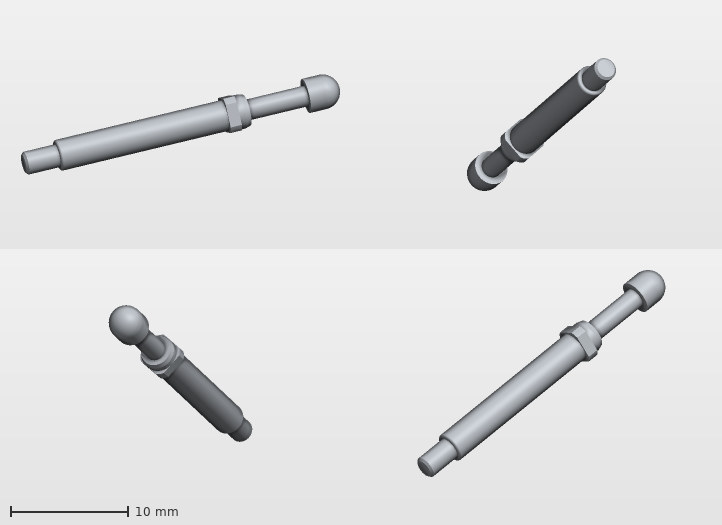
import cadquery as cq

tail_length = 3.0
barrel_length = 15.0
flange_length = 1.0
collar_length = 1.0
collar_taper_length = 0.45
stem_length = 5.3
head_cylinder_length = 1.5

tail_diameter = 2.0
barrel_diameter = 2.7
collar_diameter = 3.0
collar_mouth_diameter = 2.7
stem_diameter = 1.8
head_diameter = 3.0

tail_chamfer = 0.2
barrel_fillet = 0.2

flange_across_flats = 3.0
flange_corner_diameter = 3.6
flange_turn = 45.0

dome_radius = head_diameter / 2
total_length = (
    tail_length
    + barrel_length
    + flange_length
    + collar_length
    + stem_length
    + head_cylinder_length
    + dome_radius
)
tail_start = -total_length / 2
barrel_start = tail_start + tail_length
flange_start = barrel_start + barrel_length
collar_start = flange_start + flange_length
stem_start = collar_start + collar_length
head_start = stem_start + stem_length
dome_start = head_start + head_cylinder_length


def rod(diameter, start, length):
    """Round bar on the Y axis, running toward +Y from the given station."""
    plane = cq.Plane(origin=(0, start, 0), xDir=(1, 0, 0), normal=(0, 1, 0))
    return cq.Workplane(plane).circle(diameter / 2).extrude(length)


def make_tail():
    return rod(tail_diameter, tail_start, tail_length).faces("<Y").chamfer(tail_chamfer)


def make_barrel():
    return rod(barrel_diameter, barrel_start, barrel_length).faces("<Y").edges().fillet(barrel_fillet)


def make_flange():
    square = (
        cq.Workplane("XY")
        .box(flange_across_flats, flange_length, flange_across_flats)
        .rotate((0, 0, 0), (0, 1, 0), flange_turn)
        .translate((0, flange_start + flange_length / 2, 0))
    )
    return square.intersect(rod(flange_corner_diameter, flange_start, flange_length))


def make_collar():
    """Round collar that tapers down to its mouth, where the stem comes out."""
    taper_depth = (collar_diameter - collar_mouth_diameter) / 2
    collar = rod(collar_diameter, collar_start, collar_length)
    return collar.faces(">Y").edges().chamfer(collar_taper_length, taper_depth)


def make_head():
    """Cylinder closed by a hemispherical dome."""
    cylinder = rod(head_diameter, head_start, head_cylinder_length)
    dome = cq.Workplane("XY").sphere(dome_radius).translate((0, dome_start, 0))
    return cylinder.union(dome)


stem = rod(stem_diameter, stem_start, stem_length)

result = make_tail()
for section in (make_barrel(), make_flange(), make_collar(), stem, make_head()):
    result = result.union(section)